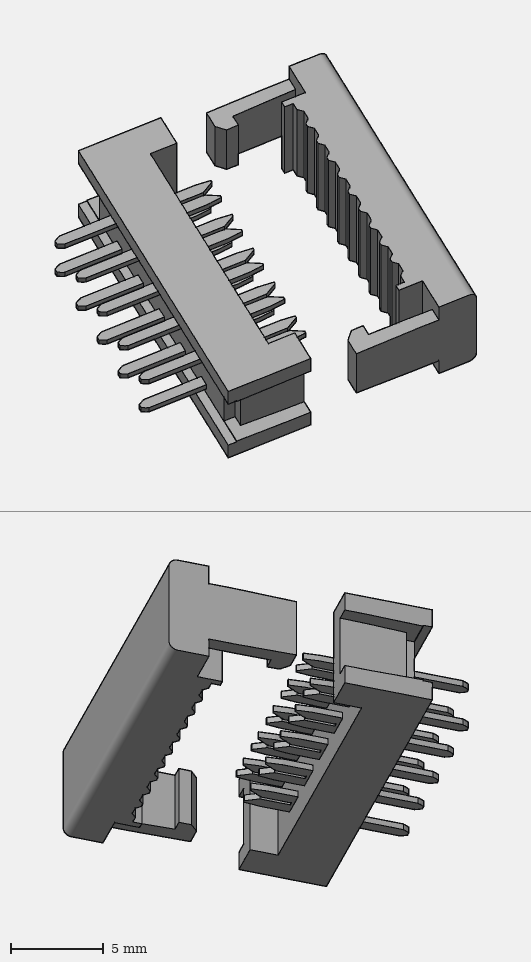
import cadquery as cq

length = 18.1
height = 6.0
half_length = length / 2
half_height = height / 2
contact_pitch = 2.55
wire_pitch = contact_pitch / 2
wire_count = 10
contacts_per_row = wire_count // 2

cover_back_y = 9.15
back_edge_radius = 0.5
arm_root_y = cover_back_y - 2.27
block_inset = 1.98
block_depth = 1.43
rim_width = 0.37
groove_crest_y = cover_back_y - 3.18
groove_depth = 0.27
groove_half_mouth = 0.53
groove_half_floor = groove_half_mouth - groove_depth

arm_length = 4.98
arm_straight = block_depth
arm_root_half_height = 1.85
arm_tip_half_height = 1.78
arm_root_thickness = 0.79
arm_tip_thickness = 0.86
hook_start = 3.8
hook_reach = 1.52
hook_chamfer_start = 4.52
hook_end_thickness = 1.02

base_back_y = -0.85
base_front_y = base_back_y - arm_length
base_post_width = 1.92
base_floor_y = base_back_y - 1.6
front_recess_depth = 0.51
base_recess_y = base_front_y + front_recess_depth

contact_thickness = 0.38
contact_row_z = wire_pitch
tine_tip_y = 0.2
fork_half_width = 0.73
slot_half_width = 0.1
slot_floor_y = tine_tip_y - 2.47
tine_inner_shoulder_y = tine_tip_y - 0.73
tine_outer_shoulder_y = tine_tip_y - 0.92
tine_tip_inner_x = 0.51
tine_tip_outer_x = 0.64
fork_embed_depth = 0.18
fork_root_y = base_floor_y - fork_embed_depth
tail_half_width = 0.31
tail_bevel_half_width = 0.24
tail_tip_half_width = 0.11
tail_tip_y = -9.15
tail_taper_length = 0.38
tail_bevel_length = 0.22


def prism_along_z(points, depth, center_z=0):
    """Straight prism of an XY outline, centred on a given Z."""
    flat = cq.Workplane("XY").workplane(offset=center_z - depth / 2)
    return flat.polyline(points).close().extrude(depth)


def mirrored_outline(half_outline, center_x):
    """Whole outline from its right half, given as offsets from a centre line."""
    right = [(center_x + x, y) for x, y in half_outline]
    left = [(center_x - x, y) for x, y in reversed(half_outline)]
    return right + left


def box_between(x_range, y_range, z_range):
    size = [high - low for low, high in (x_range, y_range, z_range)]
    corner = (x_range[0], y_range[0], z_range[0])
    return cq.Workplane("XY").box(*size, centered=False).translate(corner)


def mirrored_pair(left):
    return left.union(left.mirror("YZ"))


def left_arm_envelope(root_y, inner_outline):
    """Left arm solid: plan outline limited to the drawn-in height of the arm."""
    plan_points = [(-half_length, root_y)]
    plan_points += [(inset - half_length, root_y - along) for along, inset in inner_outline]
    plan_points.append((-half_length, root_y - arm_length))
    plan = prism_along_z(plan_points, height)

    straight_y = root_y - arm_straight
    tip_y = root_y - arm_length
    side = (
        cq.Workplane("YZ")
        .polyline([
            (root_y, arm_root_half_height),
            (straight_y, arm_root_half_height),
            (tip_y, arm_tip_half_height),
            (tip_y, -arm_tip_half_height),
            (straight_y, -arm_root_half_height),
            (root_y, -arm_root_half_height),
        ])
        .close()
        .extrude(-half_length)
    )
    return plan.intersect(side)


arm_inner_flank = [
    (0, arm_root_thickness),
    (hook_start, arm_tip_thickness),
    (hook_start, hook_reach),
]


def wire_block():
    """Central block whose front carries one groove per wire between two rims."""
    block_x = half_length - block_inset
    crest_x = block_x - rim_width
    block_front_y = arm_root_y - block_depth
    points = [
        (-block_x, arm_root_y),
        (-block_x, block_front_y),
        (-crest_x, block_front_y),
        (-crest_x, groove_crest_y),
    ]
    groove_floor_y = groove_crest_y + groove_depth
    for index in range(wire_count):
        center_x = (index - (wire_count - 1) / 2) * wire_pitch
        points += [
            (center_x - groove_half_mouth, groove_crest_y),
            (center_x - groove_half_floor, groove_floor_y),
            (center_x + groove_half_floor, groove_floor_y),
            (center_x + groove_half_mouth, groove_crest_y),
        ]
    points += [
        (crest_x, groove_crest_y),
        (crest_x, block_front_y),
        (block_x, block_front_y),
        (block_x, arm_root_y),
    ]
    return prism_along_z(points, height)


def make_cover():
    plate = box_between(
        (-half_length, half_length), (arm_root_y, cover_back_y), (-half_height, half_height)
    )
    plate = plate.edges("|X and >Y").fillet(back_edge_radius)
    hook_outline = [(hook_chamfer_start, hook_reach), (arm_length, hook_end_thickness)]
    arm = left_arm_envelope(arm_root_y, arm_inner_flank + hook_outline)
    return plate.union(wire_block()).union(mirrored_pair(arm))


def make_housing():
    housing = box_between(
        (-half_length, half_length), (base_front_y, base_back_y), (-half_height, half_height)
    )
    notch_x = half_length - base_post_width
    back_notch = box_between(
        (-notch_x, notch_x), (base_floor_y, base_back_y), (-half_height, half_height)
    )
    front_recess = box_between(
        (-half_length, half_length),
        (base_front_y, base_recess_y),
        (-arm_root_half_height, arm_root_half_height),
    )
    arm_channel = left_arm_envelope(base_back_y, arm_inner_flank + [(arm_length, hook_reach)])
    return housing.cut(back_notch).cut(front_recess).cut(mirrored_pair(arm_channel))


def make_contact(tail_x, slot_x, center_z):
    """Forked blade straddling one wire, joined by the housing to its tail."""
    half_fork = [
        (slot_half_width, slot_floor_y),
        (slot_half_width, tine_inner_shoulder_y),
        (tine_tip_inner_x, tine_tip_y),
        (tine_tip_outer_x, tine_tip_y),
        (fork_half_width, tine_outer_shoulder_y),
        (fork_half_width, fork_root_y),
    ]
    fork = prism_along_z(mirrored_outline(half_fork, slot_x), contact_thickness, center_z)

    half_tail = [
        (tail_half_width, fork_root_y),
        (tail_half_width, tail_tip_y + tail_taper_length),
        (tail_bevel_half_width, tail_tip_y + tail_bevel_length),
        (tail_tip_half_width, tail_tip_y),
    ]
    tail = prism_along_z(mirrored_outline(half_tail, tail_x), contact_thickness, center_z)
    return fork.union(tail)


def make_base():
    """Housing with its moulded-in contacts as a single solid."""
    base = make_housing()
    for side in (1, -1):
        for index in range(contacts_per_row):
            tail_x = (index - (contacts_per_row - 1) / 2) * contact_pitch
            slot_x = tail_x + side * wire_pitch / 2
            base = base.union(make_contact(tail_x, slot_x, side * contact_row_z))
    return base


cover = make_cover()
base = make_base()

result = cq.Compound.makeCompound([cover.val(), base.val()])